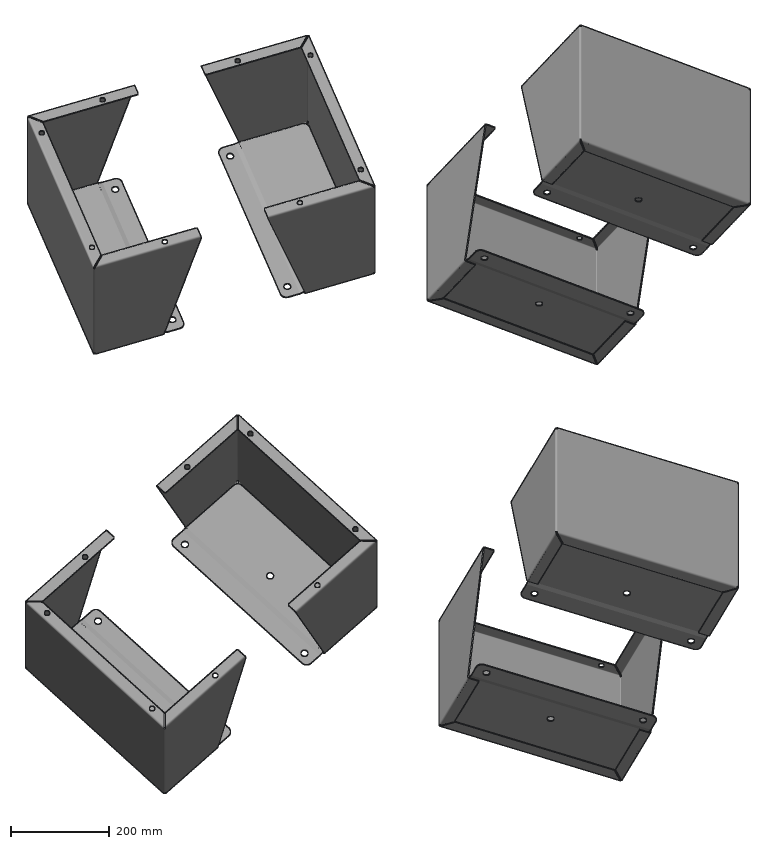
import cadquery as cq
import math

WIDTH = 406.4
OVERALL_DEPTH = 609.6
HEIGHT = 304.8

SHEET = 2.66
BEND_RADIUS = 4.2
FLANGE = 25.4
MITRE_GAP = 2.5

TOP_DEPTH = 232.8
BOTTOM_DEPTH = 152.4
FLANGE_END_RADIUS = 3.0

FLANGE_HOLE_DIAMETER = 11.11
FLANGE_HOLE_INSET = 14.3
BACK_HOLE_SPACING = 304.8
SIDE_HOLE_DEPTH = 158.75

PLATE_DEPTH = 200.0
PLATE_INSET = BEND_RADIUS
PLATE_CORNER_RADIUS = 12.7
JOGGLE_START = BOTTOM_DEPTH
JOGGLE_LENGTH = 9.5
FLOOR_HOLE_DIAMETER = 14.29
FLOOR_HOLE_DEPTH = 107.95
FOOT_HOLE_DEPTH = 180.6
FOOT_HOLE_SPACING = 347.0

BACK_Y = -OVERALL_DEPTH / 2


def hole_cutters(points, diameter, bottom):
    """Upright cylinders at (x, distance from the back) points, rising from the given height."""
    centres = [(x, BACK_Y + depth) for x, depth in points]
    plane = cq.Workplane("XY").workplane(offset=bottom)
    return plane.pushPoints(centres).circle(diameter / 2).extrude(BEND_RADIUS + SHEET)


def rounded_box(inset):
    """Block bounded by the shell's outer faces moved inward, with rounded edges where the sheet bends."""
    block = cq.Workplane("XY").box(
        WIDTH - 2 * inset, 2 * TOP_DEPTH, HEIGHT - 2 * inset, centered=(True, False, False)
    )
    block = block.translate((0, BACK_Y + inset, inset))
    return block.edges("|Z and <Y or |X and <Y or |Y").fillet(BEND_RADIUS - inset)


def side_profile():
    """Side outline of the shell: upright ends at the bends, a slanted edge between them."""
    front_top = BACK_Y + TOP_DEPTH
    front_bottom = BACK_Y + BOTTOM_DEPTH
    outline = cq.Workplane("YZ", origin=(-WIDTH / 2, 0, 0)).polyline(
        [
            (BACK_Y, 0),
            (front_bottom, 0),
            (front_bottom, BEND_RADIUS),
            (front_top, HEIGHT - BEND_RADIUS),
            (front_top, HEIGHT),
            (BACK_Y, HEIGHT),
        ]
    )
    return outline.close().extrude(WIDTH)


def flange_opening():
    """Cutter for the opening framed by the top and bottom flanges."""
    opening = cq.Workplane("XY").box(
        WIDTH - 2 * FLANGE, 2 * TOP_DEPTH, HEIGHT, centered=(True, False, False)
    )
    return opening.translate((0, BACK_Y + FLANGE, 0))


def mitre_slot(side, bottom):
    """Cutter for the 45 degree gap between two flanges at the back corner on the given side."""
    length = 2 * math.sqrt(2) * FLANGE
    slot = cq.Workplane("XY").box(length, MITRE_GAP, BEND_RADIUS, centered=(True, True, False))
    slot = slot.rotate((0, 0, 0), (0, 0, 1), -45 * side)
    return slot.translate((side * WIDTH / 2, BACK_Y, bottom))


def make_shell():
    """Three-sided wall with flanges bent inward at the top and bottom."""
    shell = rounded_box(0).cut(rounded_box(SHEET)).intersect(side_profile())
    shell = shell.cut(flange_opening())
    for side in (-1, 1):
        for bottom in (0, HEIGHT - BEND_RADIUS):
            shell = shell.cut(mitre_slot(side, bottom))
        corner = cq.NearestToPointSelector(
            (side * (WIDTH / 2 - FLANGE), BACK_Y + TOP_DEPTH, HEIGHT - SHEET / 2)
        )
        shell = shell.edges("|Z").edges(corner).fillet(FLANGE_END_RADIUS)
    back_holes = [(side * BACK_HOLE_SPACING / 2, FLANGE_HOLE_INSET) for side in (-1, 1)]
    side_holes = [(side * (WIDTH / 2 - FLANGE_HOLE_INSET), SIDE_HOLE_DEPTH) for side in (-1, 1)]
    return shell.cut(hole_cutters(back_holes + side_holes, FLANGE_HOLE_DIAMETER, HEIGHT - BEND_RADIUS))


def make_plate():
    """Floor plate lying on the bottom flanges, stepping down to a foot in front of them."""
    width = WIDTH - 2 * PLATE_INSET
    back = BACK_Y + PLATE_INSET
    step_top = BACK_Y + JOGGLE_START
    step_bottom = step_top + JOGGLE_LENGTH
    front = BACK_Y + PLATE_DEPTH
    profile = cq.Workplane("YZ", origin=(-width / 2, 0, 0)).polyline(
        [
            (back, SHEET),
            (step_top, SHEET),
            (step_bottom, 0),
            (front, 0),
            (front, SHEET),
            (step_bottom, SHEET),
            (step_top, 2 * SHEET),
            (back, 2 * SHEET),
        ]
    )
    plate = profile.close().extrude(width)
    plate = plate.edges("|Z and (<Y or >Y)").fillet(PLATE_CORNER_RADIUS)
    foot_holes = [(side * FOOT_HOLE_SPACING / 2, FOOT_HOLE_DEPTH) for side in (-1, 1)]
    floor_hole = (0, FLOOR_HOLE_DEPTH)
    return plate.cut(hole_cutters([floor_hole] + foot_holes, FLOOR_HOLE_DIAMETER, 0))


bodies = []
for body in (make_shell(), make_plate()):
    bodies += [body.val(), body.mirror("XZ").val()]

result = cq.Compound.makeCompound(bodies)